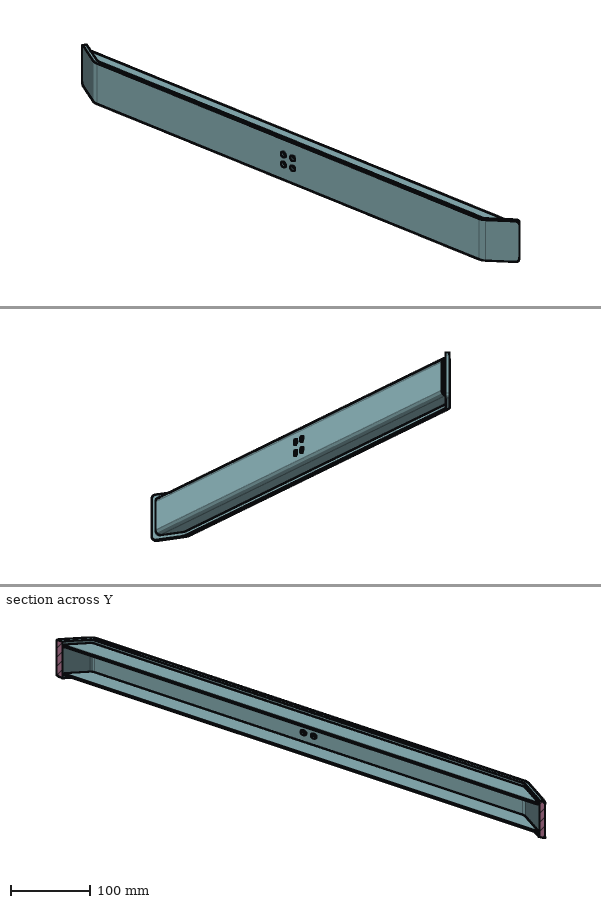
import cadquery as cq
import math

length = 700.0
depth = 30.0
height = 60.0

plate_thickness = 5.0
bend_angle = math.radians(33.2)
inner_bend_radius = 10.0
tip_corner_radius = 5.0

channel_height = 50.0
channel_thickness = 3.0
channel_bend_radius = 6.0

hole_diameter = 8.0
hole_spacing = 15.0

half_length = length / 2
front_y = -depth / 2
back_y = depth / 2
plate_back_y = front_y + plate_thickness

tip_dx = plate_thickness * math.sin(bend_angle)
tip_dy = plate_thickness * math.cos(bend_angle)
outer_tip = (half_length, back_y - tip_dy)
inner_tip = (half_length - tip_dx, back_y)


def inner_face_x(y):
    """X of the inside face of the right bent end at a given Y."""
    return inner_tip[0] - (back_y - y) / math.tan(bend_angle)


outer_bend_x = outer_tip[0] - (outer_tip[1] - front_y) / math.tan(bend_angle)
inner_bend_x = inner_face_x(plate_back_y)


def make_plate():
    """Bent plate with rounded bends and rounded tip corners."""
    right_side = [(outer_bend_x, front_y), outer_tip, inner_tip, (inner_bend_x, plate_back_y)]
    left_side = [(-x, y) for x, y in reversed(right_side)]
    plate = (
        cq.Workplane("XY")
        .polyline(right_side + left_side)
        .close()
        .extrude(height / 2, both=True)
    )
    for bend_x, bend_y, radius in (
        (outer_bend_x, front_y, inner_bend_radius + plate_thickness),
        (inner_bend_x, plate_back_y, inner_bend_radius),
    ):
        for x in (-bend_x, bend_x):
            edge = plate.edges(cq.selectors.NearestToPointSelector((x, bend_y, 0)))
            plate = edge.fillet(radius)

    tip_x = (outer_tip[0] + inner_tip[0]) / 2
    tip_y = (outer_tip[1] + inner_tip[1]) / 2
    for x in (-tip_x, tip_x):
        for z in (-height / 2, height / 2):
            edge = plate.edges(cq.selectors.NearestToPointSelector((x, tip_y, z)))
            plate = edge.fillet(tip_corner_radius)
    return plate


def make_channel():
    """U-channel whose flanges are mitred to the bent ends and whose web is cut square."""
    web_bend_y = back_y - channel_bend_radius
    web_end_x = inner_face_x(web_bend_y)
    right_side = [(inner_bend_x, plate_back_y), (web_end_x, web_bend_y), (web_end_x, back_y)]
    left_side = [(-x, y) for x, y in reversed(right_side)]
    outline = (
        cq.Workplane("XY")
        .polyline(right_side + left_side)
        .close()
        .extrude(channel_height / 2, both=True)
        .edges("|X and >Y")
        .fillet(channel_bend_radius)
    )
    cavity_depth = depth - plate_thickness - channel_thickness
    cavity = (
        cq.Workplane("XY")
        .box(length, cavity_depth, channel_height - 2 * channel_thickness)
        .edges("|X and >Y")
        .fillet(channel_bend_radius - channel_thickness)
        .translate((0, plate_back_y + cavity_depth / 2, 0))
    )
    return outline.cut(cavity)


def make_holes():
    """Four round cutters running through the plate and the channel web."""
    return (
        cq.Workplane("XZ")
        .rarray(hole_spacing, hole_spacing, 2, 2)
        .circle(hole_diameter / 2)
        .extrude(depth, both=True)
    )


result = make_plate().union(make_channel()).cut(make_holes())